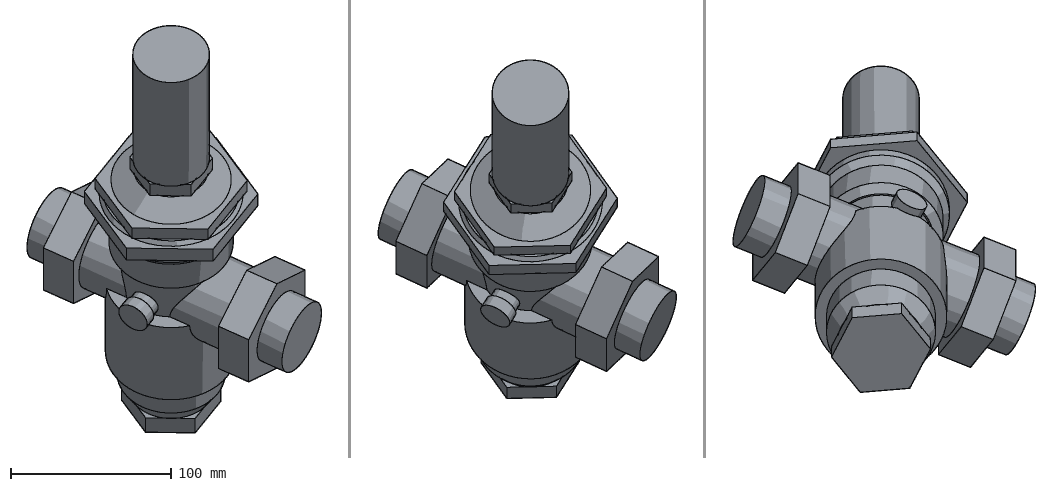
import cadquery as cq
import math


plug_top = 13.5
tail_cone_top = 26.2
tail_top = 46.5
pipe_axis_height = 114.0
neck_top = 144.5
shoulder_top = 148.5
barrel_top = 170.7
flare_top = 176.5
collar_top = 183.5
large_nut_top = 194.5
ring_top = 197.0
small_nut_top = 206.7
bonnet_top = 216.5
lock_nut_top = 227.0
total_height = 324.0

tail_cone_bottom_radius = 27.2
tail_radius = 34.0
body_radius = 41.0
neck_radius = 32.0
shoulder_bottom_radius = 33.0
barrel_radius = 39.0
collar_radius = 42.8
ring_bottom_radius = 45.0
ring_top_radius = 42.8
bonnet_bottom_radius = 37.5
bonnet_top_radius = 23.3
tube_radius = 24.0

plug_flats = 53.8
large_nut_flats = 94.0
small_nut_flats = 82.3
lock_nut_flats = 44.7
union_nut_flats = 68.5

pipe_center_x = 2.3
pipe_length = 186.0
pipe_radius = 28.0
stub_radius = 24.0
union_nut_inner = 52.8
union_nut_outer = 75.0

stud_height = 121.5
stud_span = 92.5
stud_head_radius = 10.5
stud_head_inner = 38.2
stud_shank_radius = 9.0


def round_section(bottom, top, bottom_radius, top_radius):
    """Cylinder or cone on the main axis."""
    half_profile = [(0, bottom), (bottom_radius, bottom), (top_radius, top), (0, top)]
    return cq.Workplane("XZ").polyline(half_profile).close().revolve(360, (0, 0), (0, 1))


def hexagon_section(bottom, top, across_flats):
    """Hexagonal prism on the main axis, with flats facing +X and -X."""
    across_corners = across_flats * 2 / math.sqrt(3)
    prism = cq.Workplane("XY").polygon(6, across_corners).extrude(top - bottom)
    return prism.rotate((0, 0, 0), (0, 0, 1), 30).translate((0, 0, bottom))


def valve_column():
    """Everything stacked on the main axis, from the bottom plug to the top of the tube."""
    sections = [
        hexagon_section(0, plug_top, plug_flats),
        round_section(plug_top, tail_cone_top, tail_cone_bottom_radius, tail_radius),
        round_section(tail_cone_top, tail_top, tail_radius, tail_radius),
        round_section(tail_top, pipe_axis_height, body_radius, body_radius),
        round_section(pipe_axis_height, neck_top, neck_radius, neck_radius),
        round_section(neck_top, shoulder_top, shoulder_bottom_radius, barrel_radius),
        round_section(shoulder_top, barrel_top, barrel_radius, barrel_radius),
        round_section(barrel_top, flare_top, barrel_radius, collar_radius),
        round_section(flare_top, collar_top, collar_radius, collar_radius),
        hexagon_section(collar_top, large_nut_top, large_nut_flats),
        round_section(large_nut_top, ring_top, ring_bottom_radius, ring_top_radius),
        hexagon_section(ring_top, small_nut_top, small_nut_flats),
        round_section(small_nut_top, bonnet_top, bonnet_bottom_radius, bonnet_top_radius),
        hexagon_section(bonnet_top, lock_nut_top, lock_nut_flats),
        round_section(lock_nut_top, total_height, tube_radius, tube_radius),
    ]
    column = sections[0]
    for section in sections[1:]:
        column = column.union(section)
    return column


def cross_pipe():
    """Horizontal pipe with a union nut and a plain stub at each end."""
    center_plane = cq.Workplane("YZ", origin=(pipe_center_x, 0, pipe_axis_height))
    pipe = center_plane.circle(pipe_radius).extrude(union_nut_inner, both=True)
    stubs = center_plane.circle(stub_radius).extrude(pipe_length / 2, both=True)
    pipe = pipe.union(stubs)

    nut_width = union_nut_outer - union_nut_inner
    nut_corners = union_nut_flats * 2 / math.sqrt(3)
    nut = cq.Workplane("YZ").polygon(6, nut_corners).extrude(nut_width)
    nut = nut.rotate((0, 0, 0), (1, 0, 0), 30)
    for left_end in (-union_nut_outer, union_nut_inner):
        pipe = pipe.union(nut.translate((pipe_center_x + left_end, 0, pipe_axis_height)))
    return pipe


def side_studs():
    """Coaxial studs toward -Y and +Y, each a thin shank with a wider round head."""
    stud_plane = cq.Workplane("XZ", origin=(0, 0, stud_height))
    studs = stud_plane.circle(stud_shank_radius).extrude(stud_head_inner, both=True)
    head_length = stud_span / 2 - stud_head_inner
    head = cq.Workplane("XY").circle(stud_head_radius).extrude(head_length)
    for side in (-1, 1):
        turned_head = head.rotate((0, 0, 0), (1, 0, 0), -90 * side)
        studs = studs.union(turned_head.translate((0, side * stud_head_inner, stud_height)))
    return studs


result = valve_column().union(cross_pipe()).union(side_studs())